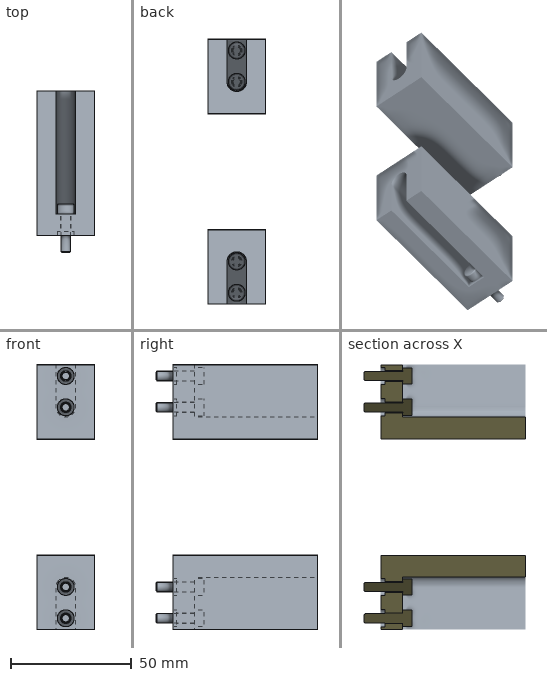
import cadquery as cq

overall_height = 110.0
block_width = 24.0
block_length = 60.0
block_height = 31.0

screw_depths = (4.75, 17.75)

thread_diameter = 4.0
head_diameter = 7.0
head_height = 4.0
tip_chamfer = 0.45
head_edge_radius = 0.4
screw_protrusion = 7.0

clearance_diameter = 4.3
slot_width = 8.0
front_wall = 9.0
counterbore_diameter = 7.0
counterbore_depth = 1.6

outer_face = overall_height / 2
inner_face = outer_face - block_height
screw_heights = [outer_face - depth for depth in screw_depths]
slot_floor_height = min(screw_heights)
shank_length = front_wall + screw_protrusion


def cylinder_along_y(diameter, start_y, length, height):
    """Cylinder on the block's mid-plane, running in +Y from start_y at the given height."""
    plane = cq.Plane(origin=(0, start_y, height), xDir=(1, 0, 0), normal=(0, 1, 0))
    return cq.Workplane(plane).circle(diameter / 2).extrude(length)


def access_slot():
    """Round-bottomed slot, open at the outer face and the rear, centred on the deeper screw."""
    slot_length = block_length - front_wall
    slot_height = outer_face - slot_floor_height
    floor = cylinder_along_y(slot_width, front_wall, slot_length, slot_floor_height)
    walls = (
        cq.Workplane("XY", origin=(0, front_wall, slot_floor_height))
        .box(slot_width, slot_length, slot_height, centered=(True, False, False))
    )
    return floor.union(walls)


def make_block():
    """Upper block with its slot, screw clearance holes and front counterbores."""
    block = (
        cq.Workplane("XY", origin=(0, 0, inner_face))
        .box(block_width, block_length, block_height, centered=(True, False, False))
        .cut(access_slot())
    )
    for height in screw_heights:
        block = block.cut(cylinder_along_y(clearance_diameter, 0, front_wall, height))
        block = block.cut(cylinder_along_y(counterbore_diameter, 0, counterbore_depth, height))
    return block


def make_screw(height):
    """Cap screw whose head bears on the front wall and whose tip projects towards -Y."""
    shank = cylinder_along_y(thread_diameter, -screw_protrusion, shank_length, height)
    shank = shank.faces("<Y").chamfer(tip_chamfer)
    head = cylinder_along_y(head_diameter, front_wall, head_height, height)
    head = head.faces(">Y").edges().fillet(head_edge_radius)
    return shank.union(head)


upper_bodies = [make_block()]
for screw_height in screw_heights:
    upper_bodies.append(make_screw(screw_height))

lower_bodies = [body.mirror("XY") for body in upper_bodies]

result = cq.Compound.makeCompound([body.val() for body in upper_bodies + lower_bodies])